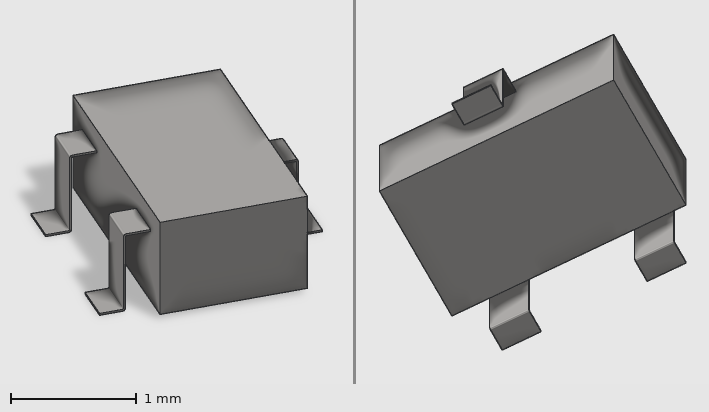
import cadquery as cq

body_length = 2.1
body_width = 1.24
body_height = 0.85
standoff = 0.05

lead_span = 2.1
lead_width = 0.35
lead_thickness = 0.018
lead_exit_height = 0.7
lead_pitch = 1.3
foot_length = 0.2
inner_bend_radius = lead_thickness / 2
outer_bend_radius = inner_bend_radius + lead_thickness

body_face = body_width / 2
lead_tip = lead_span / 2
leg_outer = lead_tip - foot_length
leg_inner = leg_outer - lead_thickness
shoulder_top = lead_exit_height + lead_thickness / 2
shoulder_bottom = shoulder_top - lead_thickness
foot_top = lead_thickness
foot_bottom = 0


def make_body():
    """Rectangular body raised above the seating plane."""
    base = cq.Workplane("XY").workplane(offset=standoff)
    return base.rect(body_length, body_width).extrude(body_height)


def round_corner(lead, x_center, corner, radius):
    """Fillet the edge along X that passes through the (y, z) corner."""
    nearest = cq.selectors.NearestToPointSelector((x_center, *corner))
    return lead.edges("|X").edges(nearest).fillet(radius)


def make_lead(x_center):
    """Z-shaped lead leaving the +Y face of the body, centred on x_center."""
    profile = [
        (body_face, shoulder_top),
        (leg_outer, shoulder_top),
        (leg_outer, foot_top),
        (lead_tip, foot_top),
        (lead_tip, foot_bottom),
        (leg_inner, foot_bottom),
        (leg_inner, shoulder_bottom),
        (body_face, shoulder_bottom),
    ]
    side_plane = cq.Workplane("YZ").workplane(offset=x_center - lead_width / 2)
    lead = side_plane.polyline(profile).close().extrude(lead_width)

    for corner in ((leg_outer, shoulder_top), (leg_inner, foot_bottom)):
        lead = round_corner(lead, x_center, corner, outer_bend_radius)
    for corner in ((leg_inner, shoulder_bottom), (leg_outer, foot_top)):
        lead = round_corner(lead, x_center, corner, inner_bend_radius)
    return lead


result = make_body().union(make_lead(0))

for side in (-1, 1):
    lead = make_lead(side * lead_pitch / 2)
    result = result.union(lead.rotate((0, 0, 0), (0, 0, 1), 180))